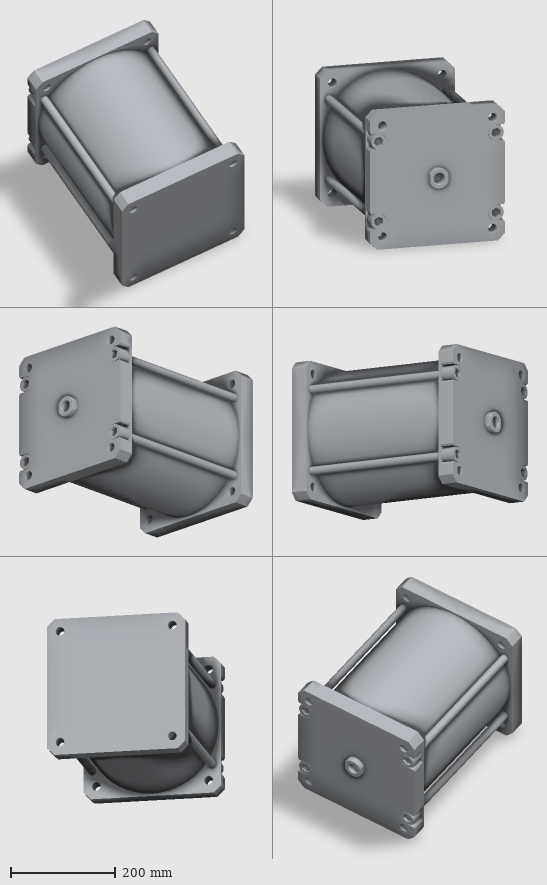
import cadquery as cq
import math


plate_side = 270.0
plate_thickness = 33.0
corner_setback = 14.5
mount_hole_diameter = 16.5
mount_hole_chamfer = 0.8
mount_hole_offset = 110.0

barrel_diameter = 260.0
barrel_length = 299.8
barrel_end = plate_thickness + barrel_length

bolt_offset_y = 117.5
bolt_offset_z = 79.5
shank_diameter = 16.0
head_diameter = 30.2
head_length = 28.5
socket_sides = 6
socket_across_flats = 17.0
pilot_diameter = 13.5
socket_depth = 11.5
pilot_depth = 13.2
lower_socket_angle = 30.0
upper_socket_angle = -15.0
slot_width = 31.5
mouth_depth = 2.3
mouth_flare = 3.5

rod_diameter = 41.0
rod_reach = 12.5
rod_chamfer = 1.0
rod_across_flats = 36.3
flat_length = 10.2
rod_bore_diameter = 22.0
rod_bore_depth = 22.5
rod_bore_tip_angle = 118.0
rod_bore_chamfer = 1.0

half_side = plate_side / 2
corner_radius = math.hypot(half_side, half_side - corner_setback)
rod_radius = rod_diameter / 2
rod_bore_radius = rod_bore_diameter / 2
bolt_places = [
    (side * bolt_offset_y, level * bolt_offset_z)
    for side in (-1, 1)
    for level in (-1, 1)
]
mount_places = [
    (side * mount_hole_offset, level * mount_hole_offset)
    for side in (-1, 1)
    for level in (-1, 1)
]


def section_plane(x):
    """Plane across the axis at x: local x is Y, local y is Z, and extrusion runs along +X."""
    return cq.Workplane("YZ", origin=(x, 0, 0))


def make_mount_hole(x, y, z):
    """Cutter for a through hole chamfered at both faces of the plate that starts at x."""
    bore_radius = mount_hole_diameter / 2
    mouth_radius = bore_radius + mount_hole_chamfer
    far_x = x + plate_thickness
    return (
        cq.Workplane("XY", origin=(0, y, z))
        .moveTo(x, 0)
        .lineTo(x, mouth_radius)
        .lineTo(x + mount_hole_chamfer, bore_radius)
        .lineTo(far_x - mount_hole_chamfer, bore_radius)
        .lineTo(far_x, mouth_radius)
        .lineTo(far_x, 0)
        .close()
        .revolve(360, (0, 0, 0), (1, 0, 0))
    )


def make_plate(x):
    """Square plate with corners turned off on the plate axis and four through mounting holes."""
    plate = section_plane(x).rect(plate_side, plate_side).extrude(plate_thickness)
    plate = plate.intersect(section_plane(x).circle(corner_radius).extrude(plate_thickness))
    for y, z in mount_places:
        plate = plate.cut(make_mount_hole(x, y, z))
    return plate


def make_head_slot(y, z):
    """Round-ended slot for a bolt head, open to the nearest side and flared at its mouth."""
    side = math.copysign(1, y)
    half_width = slot_width / 2
    mouth_half_width = half_width + mouth_flare
    edge = side * half_side
    throat = edge - side * mouth_depth
    return (
        section_plane(0)
        .moveTo(y, z + half_width)
        .lineTo(throat, z + half_width)
        .lineTo(edge, z + mouth_half_width)
        .lineTo(edge, z - mouth_half_width)
        .lineTo(throat, z - half_width)
        .lineTo(y, z - half_width)
        .threePointArc((y - side * half_width, z), (y, z + half_width))
        .close()
        .extrude(head_length)
    )


def make_front_plate():
    """Plate with a bore for the piston rod, and a slot and a shank hole for each tie bolt."""
    plate = make_plate(0)
    plate = plate.cut(section_plane(0).circle(rod_radius).extrude(plate_thickness))
    for y, z in bolt_places:
        plate = plate.cut(make_head_slot(y, z))
    shank_holes = section_plane(0).pushPoints(bolt_places).circle(shank_diameter / 2).extrude(plate_thickness)
    return plate.cut(shank_holes)


def make_barrel():
    """Round barrel filling the space between the two plates."""
    return section_plane(plate_thickness).circle(barrel_diameter / 2).extrude(barrel_length)


def make_tie_bolt(y, z):
    """Socket-head bolt, its head flush with the front plate and its end on the rear plate.

    The hexagon socket has a small round recess in its floor.
    """
    head = section_plane(0).center(y, z).circle(head_diameter / 2).extrude(head_length)
    shank_length = barrel_end - head_length
    shank = section_plane(head_length).center(y, z).circle(shank_diameter / 2).extrude(shank_length)
    across_corners = socket_across_flats / math.cos(math.pi / socket_sides)
    socket_angle = upper_socket_angle if z > 0 else lower_socket_angle
    socket = (
        section_plane(0)
        .center(y, z)
        .transformed(rotate=(0, 0, socket_angle))
        .polygon(socket_sides, across_corners)
        .extrude(socket_depth)
    )
    pilot = section_plane(0).center(y, z).circle(pilot_diameter / 2).extrude(pilot_depth)
    return head.union(shank).cut(socket).cut(pilot)


def make_rod_bore():
    """Blind bore from the rod tip, with a chamfered mouth and a drill-point end."""
    point_length = rod_bore_radius / math.tan(math.radians(rod_bore_tip_angle / 2))
    mouth_radius = rod_bore_radius + rod_bore_chamfer
    bore_end = rod_bore_depth - rod_reach
    return (
        cq.Workplane("XY")
        .moveTo(-rod_reach, 0)
        .lineTo(-rod_reach, mouth_radius)
        .lineTo(-rod_reach + rod_bore_chamfer, rod_bore_radius)
        .lineTo(bore_end, rod_bore_radius)
        .lineTo(bore_end + point_length, 0)
        .close()
        .revolve(360, (0, 0, 0), (1, 0, 0))
    )


def make_rod_flat(side):
    """Cutter for one wrench flat, with a 45 degree run-out toward the plate."""
    flat_y = rod_across_flats / 2
    flat_end = flat_length - rod_reach
    run_out = rod_radius - flat_y
    return (
        cq.Workplane("XY")
        .moveTo(-rod_reach, side * flat_y)
        .lineTo(flat_end, side * flat_y)
        .lineTo(flat_end + run_out, side * rod_radius)
        .lineTo(-rod_reach, side * rod_radius)
        .close()
        .extrude(rod_radius, both=True)
    )


def make_piston_rod():
    """Rod through the front plate, with a chamfered tip, two wrench flats and a blind bore."""
    rod = section_plane(-rod_reach).circle(rod_radius).extrude(rod_reach + plate_thickness)
    rod = rod.faces("<X").chamfer(rod_chamfer)
    for side in (-1, 1):
        rod = rod.cut(make_rod_flat(side))
    return rod.cut(make_rod_bore())


front_plate = make_front_plate()
rear_plate = make_plate(barrel_end)
barrel = make_barrel()
piston_rod = make_piston_rod()
tie_bolts = [make_tie_bolt(y, z) for y, z in bolt_places]

result = cq.Compound.makeCompound([
    front_plate.val(),
    rear_plate.val(),
    barrel.val(),
    piston_rod.val(),
    *[bolt.val() for bolt in tie_bolts],
])